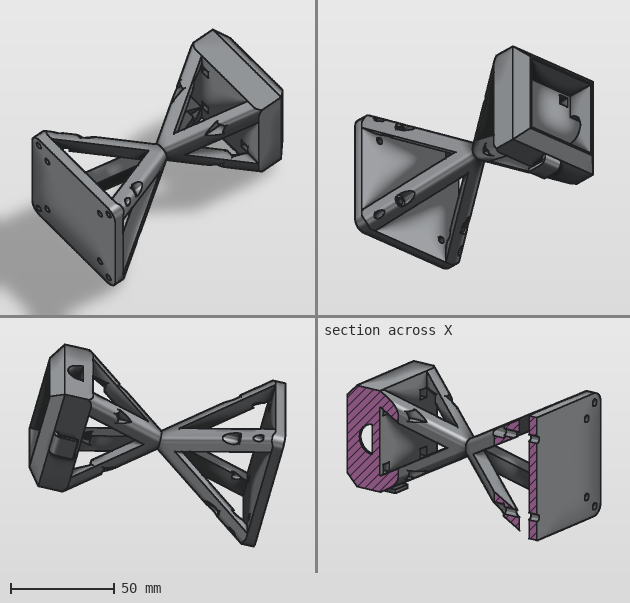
import cadquery as cq
import math

total_length = 115.0
plate_thickness = 5.1
housing_depth = 20.0
housing_y = total_length - housing_depth

plate_side = 63.0
plate_corner_radius = 6.0
corner_hole_spacing = 53.0
inner_hole_spacing = 40.0
screw_hole_diameter = 3.5
screw_head_diameter = 6.0
screw_head_seat_y = 20.0

strut_side = 8.5
strut_edge_radius = 4.4

housing_side = 52.0
rear_chamfer = 6.0
cavity_side = 38.2
floor_thickness = 5.0
cavity_y = housing_y + floor_thickness
square_hole_side = 5.0
square_hole_spacing = 30.0
cable_slot_radius = 7.5

flare = ((plate_side + housing_side) / 2 - strut_side) / (housing_y - plate_thickness)
waist_y = plate_thickness + (plate_side - strut_side) / 2 / flare

hook_thickness = 2.0
hook_width = 10.0
hook_drop = 5.1
hook_length = 12.0
hook_outer_radius = 3.9
hook_inner_radius = 1.0


def section_at(y):
    """Work plane across the part at the given Y, with local axes X and Z, normal toward -Y."""
    return cq.Workplane("XZ", origin=(0, y, 0))


def block(side, start_y, end_y):
    """Square block centred on the Y axis."""
    return section_at(start_y).rect(side, side).extrude(start_y - end_y)


def crossed_prisms(outline):
    """The same Y-Z outline extruded along X, and turned about Y to run along Z."""
    along_x = cq.Workplane("YZ").polyline(outline).close().extrude(plate_side, both=True)
    along_z = along_x.rotate((0, 0, 0), (0, 1, 0), 90)
    return along_x, along_z


def struts(end_y, tip_y):
    """Four struts that spread from the waist to end_y, then continue as a solid pyramid to tip_y."""

    def half_width(y):
        return strut_side / 2 + flare * abs(y - waist_y)

    waist_half = half_width(waist_y)
    tip_half = half_width(tip_y)
    trapezoid = [(waist_y, waist_half), (tip_y, tip_half), (tip_y, -tip_half), (waist_y, -waist_half)]
    wedge_along_x, wedge_along_z = crossed_prisms(trapezoid)
    frame = wedge_along_x.intersect(wedge_along_z)
    frame = frame.edges("not(#Y)").fillet(strut_edge_radius)

    half_opening = half_width(end_y) - strut_side
    apex_offset = strut_side / 2 / flare
    apex_y = waist_y + math.copysign(apex_offset, end_y - waist_y)
    triangle = [(apex_y, 0), (end_y, half_opening), (end_y, -half_opening)]
    for window in crossed_prisms(triangle):
        frame = frame.cut(window)
    return frame


def hole_pattern(spacing, diameter, start_y, end_y):
    """Four round holes at the corners of a square."""
    return (
        section_at(start_y)
        .rect(spacing, spacing, forConstruction=True)
        .vertices()
        .circle(diameter / 2)
        .extrude(start_y - end_y)
    )


def front_frame():
    """Mounting plate and front struts, with screw holes and screw head clearance."""
    plate_outline = block(plate_side, 0, waist_y).edges("|Y").fillet(plate_corner_radius)
    plate = block(plate_side, 0, plate_thickness)
    frame = plate.union(struts(plate_thickness, plate_thickness))
    return (
        frame.intersect(plate_outline)
        .cut(hole_pattern(corner_hole_spacing, screw_hole_diameter, 0, waist_y))
        .cut(hole_pattern(inner_hole_spacing, screw_hole_diameter, 0, waist_y))
        .cut(hole_pattern(inner_hole_spacing, screw_head_diameter, screw_head_seat_y, waist_y))
    )


def cable_slot():
    """Half-round passage through the -X side wall, flat on the cavity floor."""
    return (
        cq.Workplane("YZ")
        .moveTo(cavity_y, -cable_slot_radius)
        .threePointArc((cavity_y + cable_slot_radius, 0), (cavity_y, cable_slot_radius))
        .close()
        .extrude(-housing_side / 2)
    )


def rear_envelope():
    """Outer limit of the rear half: a chamfered box as wide as the housing."""
    return block(housing_side, waist_y, total_length).faces(">Y").chamfer(rear_chamfer)


def rear_frame():
    """Rear struts running into the housing, with cavity, cable slot and square screw passages."""
    square_holes = (
        section_at(waist_y)
        .rect(square_hole_spacing, square_hole_spacing, forConstruction=True)
        .vertices()
        .rect(square_hole_side, square_hole_side)
        .extrude(waist_y - cavity_y)
    )
    return (
        struts(housing_y, total_length)
        .intersect(rear_envelope())
        .cut(block(cavity_side, cavity_y, total_length))
        .cut(cable_slot())
        .cut(square_holes)
    )


def hook():
    """L-shaped hook below the housing, its arm pointing to the front."""
    back_y = total_length - rear_chamfer
    top_z = -housing_side / 2
    bottom_z = top_z - hook_drop
    profile = (
        cq.Workplane("YZ")
        .moveTo(back_y, top_z)
        .lineTo(back_y, bottom_z + hook_outer_radius)
        .radiusArc((back_y - hook_outer_radius, bottom_z), hook_outer_radius)
        .lineTo(back_y - hook_length, bottom_z)
        .lineTo(back_y - hook_length, bottom_z + hook_thickness)
        .lineTo(back_y - hook_thickness - hook_inner_radius, bottom_z + hook_thickness)
        .radiusArc(
            (back_y - hook_thickness, bottom_z + hook_thickness + hook_inner_radius),
            -hook_inner_radius,
        )
        .lineTo(back_y - hook_thickness, top_z)
        .close()
    )
    return profile.extrude(hook_width / 2, both=True)


result = front_frame().union(rear_frame()).union(hook())